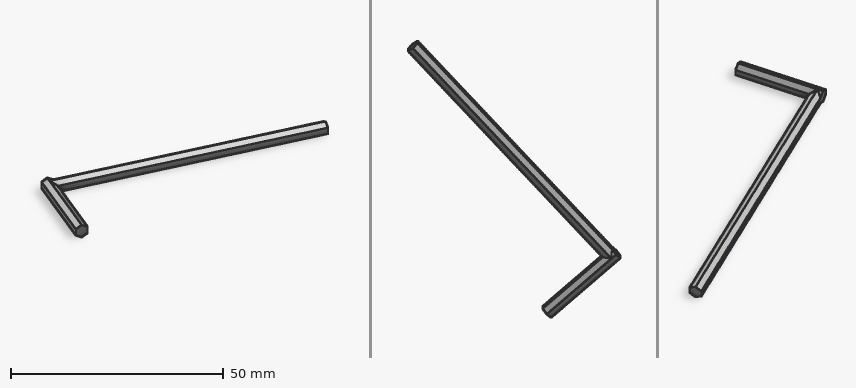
import cadquery as cq
import math

across_flats = 3.0
long_length = 71.5
short_length = 22.0

half_flats = across_flats / 2
across_corners = across_flats / math.cos(math.pi / 6)


def hex_bar(plane, length):
    """Hexagonal bar extruded along the plane normal, with corners at top and bottom."""
    turned = plane.rotated((0, 0, 90))
    return cq.Workplane(turned).polygon(6, across_corners).extrude(length)


short_arm_start = cq.Plane(origin=(0, half_flats, 0), xDir=(0, 1, 0), normal=(1, 0, 0))
short_arm = hex_bar(short_arm_start, short_length)

long_arm_start = cq.Plane(origin=(half_flats, half_flats, 0), xDir=(1, 0, 0), normal=(0, 1, 0))
long_arm = hex_bar(long_arm_start, long_length - half_flats)

result = short_arm.union(long_arm)